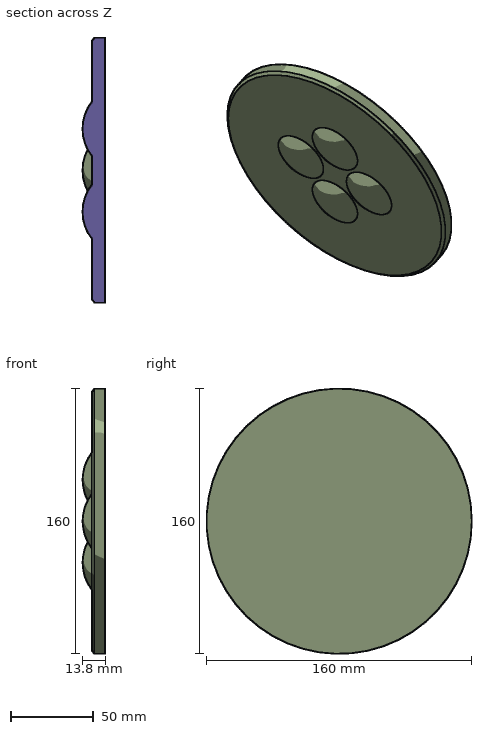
import cadquery as cq
import math

disc_diameter = 160.0
disc_thickness = 8.0
chamfer_width = 2.0
chamfer_depth = 1.5

overall_depth = 13.8
dome_base_diameter = 33.1
dome_count = 4
dome_circle_radius = 25.0

dome_height = overall_depth - disc_thickness
dome_base_radius = dome_base_diameter / 2
sphere_radius = (dome_base_radius**2 + dome_height**2) / (2 * dome_height)
sphere_center_x = sphere_radius - overall_depth


def make_disc():
    """Round plate with a chamfered front rim."""
    rim_radius = disc_diameter / 2
    half_section = [
        (0, 0),
        (0, rim_radius),
        (chamfer_depth - disc_thickness, rim_radius),
        (-disc_thickness, rim_radius - chamfer_width),
        (-disc_thickness, 0),
    ]
    return cq.Workplane("XY").polyline(half_section).close().revolve(360, (0, 0), (1, 0))


def make_dome(y, z):
    """Spherical cap, with a cylindrical root reaching the back of the disc."""
    sphere = cq.Workplane("XY").sphere(sphere_radius).translate((sphere_center_x, y, z))
    root = cq.Workplane("YZ").center(y, z).circle(dome_base_radius).extrude(-overall_depth)
    return sphere.intersect(root)


result = make_disc()
for index in range(dome_count):
    angle = 2 * math.pi * index / dome_count
    dome_y = dome_circle_radius * math.cos(angle)
    dome_z = dome_circle_radius * math.sin(angle)
    result = result.union(make_dome(dome_y, dome_z))